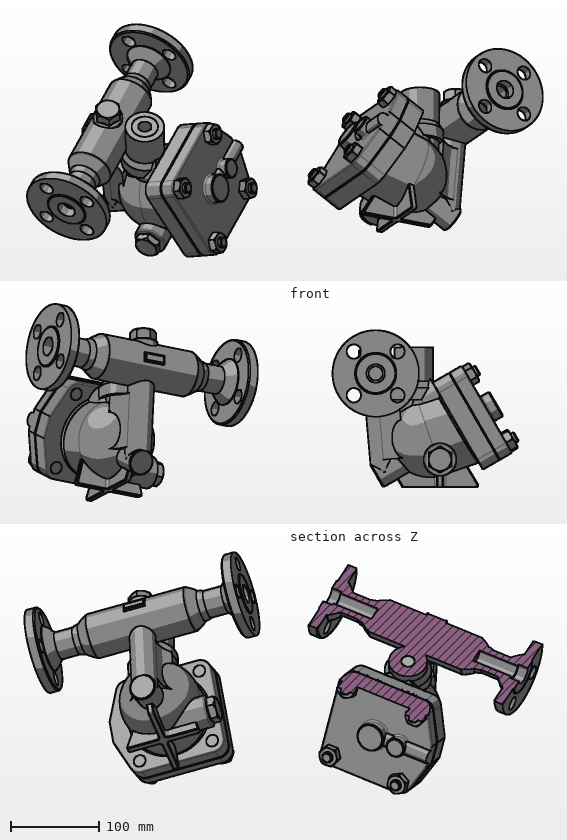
import cadquery as cq
import math

PIPE_HALF_LENGTH = 125.0
FACE_HEIGHT = 1.1
FACE_DIA = 44.0
FACE_BASE_DIA = 47.0
FLANGE_DIA = 98.0
FLANGE_THICKNESS = 11.7
FLANGE_CHAMFER = 1.5
HUB_DIA = 53.0
HUB_STEP = 1.0
HUB_LENGTH = 11.0
HUB_BULGE = 0.5
NECK_DIA = 32.0
NECK_END_Y = 78.7
COLLAR_DIA = 36.0
COLLAR_LENGTH = 7.4
COLLAR_BULGE = 0.4
CHAMBER_HALF_LENGTH = 58.6
CHAMBER_DIA = 52.0
CHAMBER_EDGE_DROP = 0.6
CHAMBER_EDGE_LENGTH = 1.3
CONE_BULGE = 0.6
FLANGE_HOLE_DIA = 16.0
FLANGE_HOLE_PITCH = 49.5
SOCKET_DIA = 21.0
SOCKET_DEPTH = 12.0
BORE_DIA = 16.0
BORE_DEPTH = 60.0

PLATE_LENGTH = 25.5
PLATE_HEIGHT = 10.4
PLATE_RIM = 1.5
PLATE_RECESS = 0.5
PLATE_FACE_X = -29.0
PLATE_CHAMFER = 0.8

PLUG_ACROSS_FLATS = 26.0
PLUG_CHAMFER = 2.3
GASKET_DIA = 24.0
GASKET_THICKNESS = 1.0

TOP_PLUG_X = -2.4
TOP_BOSS_DIA = 33.0
TOP_BOSS_Z = 26.3
TOP_BOSS_FILLET = 1.0
TOP_PLUG_END_Z = 39.4

OUTLET_X = 43.0
OUTLET_DIA = 44.0
OUTLET_TOP_Z = 29.4
OUTLET_BOTTOM_Z = -50.0
OUTLET_SKIRT_DIA = 53.0
OUTLET_SKIRT_BOTTOM_Z = -30.0
OUTLET_SKIRT_TOP_Z = -9.0
OUTLET_SKIRT_SLOPE = 7.0
OUTLET_FACE_DIA = 30.0
OUTLET_FACE_HEIGHT = 0.4
OUTLET_BORE_DIA = 15.0
OUTLET_BORE_DEPTH = 30.0

AXIS_ANGLE = 30.0
AXIS_OFFSET = 98.0
BODY_DIA = 92.0
DOME_RISE = 5.5
BODY_ANGLE = 19.0
DOME_CENTRE_S = 17.0
RIM_WIDTH = 2.5
RIM_LAND = 0.2
BODY_FLANGE_S = 50.5
GASKET_S = 72.5
COVER_FACE_S = 88.8
LUG_RADIUS = 26.5
LUG_RISE = 37.5
LUG_START_S = 30.0

COVER_HALF_WIDTH = 57.0
COVER_CORNER_RADIUS = 13.5
COVER_NOSE_Y = 70.0
COVER_NOSE_HALF_WIDTH = 13.0
COVER_SLANT_START_Y = 52.5
COVER_EDGE_FILLET = 1.5
BACK_EDGE_FILLET = 1.0
JOINT_GROOVE_DEPTH = 0.7
JOINT_GROOVE_WIDTH = 1.2

STUD_DIA = 12.0
STUD_CHAMFER = 1.0
STUD_END_S = 102.05
STUD_RECESS_DIA = 14.0
STUD_RECESS_DEPTH = 0.5
NUT_ACROSS_FLATS = 21.0
NUT_HEIGHT = 9.0
HALF_HEX_TURN = 30
NUT_CHAMFER = 1.4
STUD_PITCH_HALF = COVER_HALF_WIDTH - COVER_CORNER_RADIUS

BOSS_DIA = 32.0
SMALL_BOSS_DIA = 22.0
SMALL_BOSS_Y = 31.9
BOSS_FACE_S = 101.0
BOSS_CHAMFER = 1.2
DUCT_DIA = 16.0
BOSS_FILLET = 2.0

DOWN_PIPE_DIA = 30.0
DOWN_PIPE_TOP_X = 0.0
DOWN_PIPE_ANGLE = 5.0
DOWN_PIPE_LENGTH = 112.0
STRAINER_DIA = 30.0
STRAINER_DROP = 3.0
STRAINER_START_S = -57.2
STRAINER_CHAMFER = 1.2
WEB_RADIUS = 30.0
WEB_SWEEP = 52.0
WEB_START = 35.0
WEB_END = 98.0

DRAIN_X = 72.8
DRAIN_Z = -97.5
DRAIN_DIA = 37.0
DRAIN_END_Y = -55.2
DRAIN_FILLET = 1.5
DRAIN_PLUG_END_Y = -65.8

FOOT_Z = -129.0
FOOT_TOP_Z = -95.0
RIB_THICKNESS = 7.0
RIB_X_FROM = 30.2
RIB_X_TO = 118.0
RIB_Y_HALF = 43.7
RIB_X_SLOPE = 0.6
RIB_Y_SLOPE = 0.25
RIB_CORNER_RADIUS = 2.5
RIB_ROOT_FILLET = 3.0
RIB_EDGE_CHAMFER = 1.0


def body_plane(station, drop=0.0):
    """Plane across the cover axis: local x is +Y, local y points up the cover."""
    angle = math.radians(AXIS_ANGLE)
    distance = AXIS_OFFSET + drop
    x = station * math.cos(angle) + distance * math.sin(angle)
    z = station * math.sin(angle) - distance * math.cos(angle)
    normal = (math.cos(angle), 0, math.sin(angle))
    return cq.Plane(origin=(x, 0, z), xDir=(0, 1, 0), normal=normal)


def near_end(axis):
    """Selector of the first face along a direction."""
    return cq.selectors.DirectionMinMaxSelector(axis, False)


def far_end(axis):
    """Selector of the last face along a direction."""
    return cq.selectors.DirectionMinMaxSelector(axis, True)


def hexagon(plane, across_flats, height, chamfer, turn=0.0):
    """Hexagon prism with its outer corners bevelled; turn rotates it about its axis."""
    across_corners = across_flats / math.cos(math.pi / 6)
    prism = cq.Workplane(plane).transformed(rotate=(0, 0, turn)).polygon(6, across_corners).extrude(height)
    envelope = cq.Workplane(plane).circle(across_corners / 2).extrude(height)
    envelope = envelope.faces(far_end(plane.zDir)).chamfer(chamfer)
    return prism.intersect(envelope)


def bulged_point(start, end, bulge):
    """Point beside the middle of a line, on its left when going from start to end."""
    dx = end[0] - start[0]
    dy = end[1] - start[1]
    length = math.hypot(dx, dy)
    return ((start[0] + end[0]) / 2 - bulge * dy / length, (start[1] + end[1]) / 2 + bulge * dx / length)


def pipe_end():
    """Reducer, collar, neck and flange at the +Y end of the chamber."""
    flange_y = PIPE_HALF_LENGTH - FACE_HEIGHT
    back_y = flange_y - FLANGE_THICKNESS
    hub_y = back_y - HUB_STEP
    cone_start = (CHAMBER_DIA / 2 - CHAMBER_EDGE_DROP, CHAMBER_HALF_LENGTH + CHAMBER_EDGE_LENGTH)
    collar_start = (COLLAR_DIA / 2, NECK_END_Y - COLLAR_LENGTH)
    collar_end = (NECK_DIA / 2, NECK_END_Y)
    hub_start = (NECK_DIA / 2, hub_y - HUB_LENGTH)
    hub_end = (HUB_DIA / 2, hub_y)
    profile = (
        cq.Workplane("XY")
        .moveTo(0, CHAMBER_HALF_LENGTH)
        .lineTo(CHAMBER_DIA / 2, CHAMBER_HALF_LENGTH)
        .lineTo(*cone_start)
        .threePointArc(bulged_point(collar_start, cone_start, CONE_BULGE), collar_start)
        .threePointArc(bulged_point(collar_end, collar_start, COLLAR_BULGE), collar_end)
        .lineTo(*hub_start)
        .threePointArc(bulged_point(hub_end, hub_start, HUB_BULGE), hub_end)
        .lineTo(HUB_DIA / 2, back_y)
        .lineTo(FLANGE_DIA / 2 - FLANGE_CHAMFER, back_y)
        .lineTo(FLANGE_DIA / 2, back_y + FLANGE_CHAMFER)
        .lineTo(FLANGE_DIA / 2, flange_y)
        .lineTo(FACE_BASE_DIA / 2, flange_y)
        .lineTo(FACE_DIA / 2, PIPE_HALF_LENGTH)
        .lineTo(0, PIPE_HALF_LENGTH)
        .close()
    )
    return profile.revolve(360, (0, 0, 0), (0, 1, 0))


def pipe_run():
    chamber = cq.Workplane("XZ", origin=(0, CHAMBER_HALF_LENGTH, 0))
    chamber = chamber.circle(CHAMBER_DIA / 2).extrude(2 * CHAMBER_HALF_LENGTH)
    end = pipe_end()
    return chamber.union(end).union(end.mirror("XZ"))


def pipe_holes():
    end = cq.Workplane("XZ", origin=(0, PIPE_HALF_LENGTH, 0))
    half_holes = (
        end.rect(FLANGE_HOLE_PITCH, FLANGE_HOLE_PITCH, forConstruction=True)
        .vertices()
        .circle(FLANGE_HOLE_DIA / 2)
        .extrude(2 * FLANGE_THICKNESS)
    )
    half_holes = half_holes.union(end.circle(SOCKET_DIA / 2).extrude(SOCKET_DEPTH))
    half_holes = half_holes.union(end.circle(BORE_DIA / 2).extrude(BORE_DEPTH))
    return half_holes.union(half_holes.mirror("XZ"))


def name_plate():
    face = cq.Workplane("YZ", origin=(PLATE_FACE_X, 0, 0))
    plate = face.rect(PLATE_LENGTH, PLATE_HEIGHT).extrude(-PLATE_FACE_X)
    plate = plate.faces("<X").chamfer(PLATE_CHAMFER)
    recess = face.rect(PLATE_LENGTH - 2 * PLATE_RIM, PLATE_HEIGHT - 2 * PLATE_RIM).extrude(PLATE_RECESS)
    return plate.cut(recess)


def top_plug():
    boss = cq.Workplane("XY", origin=(TOP_PLUG_X, 0, 0)).circle(TOP_BOSS_DIA / 2).extrude(TOP_BOSS_Z)
    boss = boss.faces(">Z").edges().fillet(TOP_BOSS_FILLET)
    hex_z = TOP_BOSS_Z + GASKET_THICKNESS
    gasket = cq.Workplane("XY", origin=(TOP_PLUG_X, 0, 0)).circle(GASKET_DIA / 2).extrude(hex_z)
    plane = cq.Plane(origin=(TOP_PLUG_X, 0, hex_z))
    head = hexagon(plane, PLUG_ACROSS_FLATS, TOP_PLUG_END_Z - hex_z, PLUG_CHAMFER)
    return boss.union(gasket).union(head)


def drain_plug():
    boss = cq.Workplane("XZ", origin=(DRAIN_X, 0, DRAIN_Z)).circle(DRAIN_DIA / 2).extrude(-DRAIN_END_Y)
    boss = boss.faces("<Y").edges().fillet(DRAIN_FILLET)
    hex_y = DRAIN_END_Y - GASKET_THICKNESS
    gasket = cq.Workplane("XZ", origin=(DRAIN_X, 0, DRAIN_Z)).circle(GASKET_DIA / 2).extrude(-hex_y)
    plane = cq.Plane(origin=(DRAIN_X, hex_y, DRAIN_Z), xDir=(0, 0, 1), normal=(0, -1, 0))
    head = hexagon(plane, PLUG_ACROSS_FLATS, hex_y - DRAIN_PLUG_END_Y, PLUG_CHAMFER)
    return boss.union(gasket).union(head)


def outlet():
    bottom = cq.Workplane("XY", origin=(OUTLET_X, 0, OUTLET_BOTTOM_Z))
    height = OUTLET_TOP_Z - OUTLET_BOTTOM_Z
    column = bottom.circle(OUTLET_DIA / 2).extrude(height)
    skirt_step = (OUTLET_SKIRT_DIA - OUTLET_DIA) / 2
    skirt = cq.Workplane("XY", origin=(OUTLET_X, 0, OUTLET_SKIRT_BOTTOM_Z)).circle(OUTLET_SKIRT_DIA / 2)
    skirt = skirt.extrude(OUTLET_SKIRT_TOP_Z - OUTLET_SKIRT_BOTTOM_Z)
    skirt = skirt.faces(">Z").chamfer(OUTLET_SKIRT_SLOPE, skirt_step)
    column = column.union(skirt)
    return column.union(bottom.circle(OUTLET_FACE_DIA / 2).extrude(height + OUTLET_FACE_HEIGHT))


def outlet_bore():
    top = cq.Workplane("XY", origin=(OUTLET_X, 0, OUTLET_TOP_Z + OUTLET_FACE_HEIGHT))
    return top.circle(OUTLET_BORE_DIA / 2).extrude(-OUTLET_BORE_DEPTH)


def body_shell():
    """Domed barrel, flared where it meets its flange."""
    axis = body_plane(0).zDir
    dome_plane = body_plane(DOME_CENTRE_S, -DOME_RISE)
    angle = math.radians(BODY_ANGLE)
    barrel_plane = cq.Plane(
        origin=dome_plane.origin,
        xDir=(0, 1, 0),
        normal=(math.cos(angle), 0, math.sin(angle)),
    )
    dome = cq.Workplane(dome_plane).sphere(BODY_DIA / 2)
    barrel = cq.Workplane(barrel_plane).circle(BODY_DIA / 2).extrude(GASKET_S - DOME_CENTRE_S)
    beyond_flange = cq.Workplane(body_plane(GASKET_S - JOINT_GROOVE_WIDTH))
    barrel = barrel.cut(beyond_flange.rect(2 * BODY_DIA, 2 * BODY_DIA).extrude(BODY_DIA))
    rim = cq.Workplane(body_plane(BODY_FLANGE_S - RIM_WIDTH))
    rim = rim.circle(BODY_DIA / 2 + RIM_WIDTH).extrude(RIM_WIDTH)
    rim = rim.faces(near_end(axis)).chamfer(RIM_WIDTH - RIM_LAND)
    return dome.union(barrel).union(rim)


def outlet_lug():
    """Round-ended lug that joins the outlet to the body flange."""
    start = cq.Workplane(body_plane(LUG_START_S, -LUG_RISE))
    return start.sphere(LUG_RADIUS).union(start.circle(LUG_RADIUS).extrude(BODY_FLANGE_S - LUG_START_S))


def cover_block(start, end):
    """Slab with the cover outline between two stations."""
    outline = [
        (-COVER_HALF_WIDTH, -COVER_HALF_WIDTH),
        (COVER_SLANT_START_Y, -COVER_HALF_WIDTH),
        (COVER_NOSE_Y, -COVER_NOSE_HALF_WIDTH),
        (COVER_NOSE_Y, COVER_NOSE_HALF_WIDTH),
        (COVER_SLANT_START_Y, COVER_HALF_WIDTH),
        (-COVER_HALF_WIDTH, COVER_HALF_WIDTH),
    ]
    plane = body_plane(start)
    slab = cq.Workplane(plane).polyline(outline).close().extrude(end - start)
    for x, y in outline:
        if x != COVER_NOSE_Y:
            middle = plane.toWorldCoords((x, y, (end - start) / 2))
            corner = cq.selectors.NearestToPointSelector(middle.toTuple())
            slab = slab.edges(corner).fillet(COVER_CORNER_RADIUS)
    return slab


def joint_gasket(start, end):
    """Gasket with its rim set in from the cover outline."""
    axis = body_plane(0).zDir
    rim = cover_block(start, end).faces(near_end(axis)).wires().val()
    inner = rim.offset2D(-JOINT_GROOVE_DEPTH)[0]
    return cq.Workplane(obj=cq.Solid.extrudeLinear(inner, [], axis * (end - start)))


def stud_recesses():
    back = cq.Workplane(body_plane(BODY_FLANGE_S))
    corners = back.rect(2 * STUD_PITCH_HALF, 2 * STUD_PITCH_HALF, forConstruction=True).vertices()
    return corners.circle(STUD_RECESS_DIA / 2).extrude(STUD_RECESS_DEPTH)


def body_flange_and_cover():
    half_groove = JOINT_GROOVE_WIDTH / 2
    axis = body_plane(0).zDir
    flange = cover_block(BODY_FLANGE_S, GASKET_S - half_groove)
    flange = flange.faces(near_end(axis)).edges().fillet(BACK_EDGE_FILLET)
    flange = flange.cut(stud_recesses())
    gasket = joint_gasket(GASKET_S - half_groove, GASKET_S + half_groove)
    cover = cover_block(GASKET_S + half_groove, COVER_FACE_S)
    cover = cover.faces(far_end(axis)).edges().fillet(COVER_EDGE_FILLET)
    return flange.union(gasket).union(cover)


def cover_fasteners():
    fasteners = cq.Workplane("XY")
    axis = body_plane(0).zDir
    for side in (-1, 1):
        for end in (-1, 1):
            position = (side * STUD_PITCH_HALF, end * STUD_PITCH_HALF, 0)
            plane = body_plane(COVER_FACE_S)
            plane = cq.Plane(origin=plane.toWorldCoords(position), xDir=plane.xDir, normal=axis)
            stud = cq.Workplane(plane).circle(STUD_DIA / 2).extrude(STUD_END_S - COVER_FACE_S)
            stud = stud.faces(far_end(axis)).chamfer(STUD_CHAMFER)
            turn = 0 if side == end else HALF_HEX_TURN
            nut = hexagon(plane, NUT_ACROSS_FLATS, NUT_HEIGHT, NUT_CHAMFER, turn)
            fasteners = fasteners.union(stud).union(nut)
    return fasteners


def cover_boss(dia):
    """Boss standing on z = 0, with a hollow flare at its foot."""
    radius = dia / 2
    height = BOSS_FACE_S - COVER_FACE_S
    diagonal = BOSS_FILLET * (1 - math.sqrt(0.5))
    return (
        cq.Workplane("XZ")
        .moveTo(0, -BOSS_FILLET)
        .lineTo(radius + BOSS_FILLET, -BOSS_FILLET)
        .lineTo(radius + BOSS_FILLET, 0)
        .threePointArc((radius + diagonal, diagonal), (radius, BOSS_FILLET))
        .lineTo(radius, height - BOSS_CHAMFER)
        .lineTo(radius - BOSS_CHAMFER, height)
        .lineTo(0, height)
        .close()
        .revolve(360, (0, 0, 0), (0, 1, 0))
    )


def cover_bosses():
    """Large and small boss, joined by a half-round duct that runs on to the nose of the cover."""
    face = body_plane(COVER_FACE_S)
    boss = cover_boss(BOSS_DIA).union(cover_boss(SMALL_BOSS_DIA).translate((SMALL_BOSS_Y, 0, 0)))
    boss = boss.newObject([boss.val().moved(face.location)])
    duct = cq.Workplane("XZ", origin=face.origin.toTuple()).circle(DUCT_DIA / 2).extrude(-COVER_NOSE_Y)
    return boss.union(duct)


def down_pipe():
    """Pipe down to the strainer, with a hollow-sided web on its +X side that joins it to the body."""
    tilt = math.radians(DOWN_PIPE_ANGLE)
    direction = (math.sin(tilt), 0, -math.cos(tilt))
    across = (math.cos(tilt), 0, math.sin(tilt))
    plane = cq.Plane(origin=(DOWN_PIPE_TOP_X, 0, 0), xDir=across, normal=direction)
    pipe = cq.Workplane(plane).circle(DOWN_PIPE_DIA / 2).extrude(DOWN_PIPE_LENGTH)

    def side_point(angle, side):
        x = WEB_RADIUS * math.sin(math.radians(angle))
        y = DOWN_PIPE_DIA / 2 + WEB_RADIUS * (1 - math.cos(math.radians(angle)))
        return (x, side * y)

    web = (
        cq.Workplane(plane)
        .workplane(offset=WEB_START)
        .moveTo(*side_point(0, -1))
        .threePointArc(side_point(WEB_SWEEP / 2, -1), side_point(WEB_SWEEP, -1))
        .lineTo(*side_point(WEB_SWEEP, 1))
        .threePointArc(side_point(WEB_SWEEP / 2, 1), side_point(0, 1))
        .close()
        .extrude(WEB_END - WEB_START)
    )
    beyond_strainer = cq.Workplane(body_plane(STRAINER_START_S, STRAINER_DROP))
    beyond_strainer = beyond_strainer.rect(2 * STRAINER_DIA, 2 * STRAINER_DIA).extrude(-STRAINER_DIA)
    return pipe.union(web).cut(beyond_strainer)


def strainer():
    axis = body_plane(0).zDir
    length = DOME_CENTRE_S - STRAINER_START_S
    tube = cq.Workplane(body_plane(STRAINER_START_S, STRAINER_DROP)).circle(STRAINER_DIA / 2).extrude(length)
    return tube.faces(near_end(axis)).chamfer(STRAINER_CHAMFER)


def foot():
    height = FOOT_TOP_Z - FOOT_Z
    run_x = RIB_X_SLOPE * height
    run_y = RIB_Y_SLOPE * height
    long_rib = (
        cq.Workplane("XZ")
        .polyline([
            (RIB_X_FROM, FOOT_Z),
            (RIB_X_TO, FOOT_Z),
            (RIB_X_TO - run_x, FOOT_TOP_Z),
            (RIB_X_FROM - run_x, FOOT_TOP_Z),
        ])
        .close()
        .extrude(RIB_THICKNESS / 2, both=True)
    )
    cross_rib = (
        cq.Workplane("YZ", origin=(DRAIN_X, 0, 0))
        .polyline([
            (-RIB_Y_HALF, FOOT_Z),
            (RIB_Y_HALF, FOOT_Z),
            (RIB_Y_HALF - run_y, FOOT_TOP_Z),
            (run_y - RIB_Y_HALF, FOOT_TOP_Z),
        ])
        .close()
        .extrude(RIB_THICKNESS / 2, both=True)
    )
    long_rib = long_rib.edges("|Y and <Z").fillet(RIB_CORNER_RADIUS)
    cross_rib = cross_rib.edges("|X and <Z").fillet(RIB_CORNER_RADIUS)
    ribs = long_rib.union(cross_rib)
    middle = cq.selectors.BoxSelector(
        (DRAIN_X - RIB_THICKNESS, -RIB_THICKNESS, FOOT_Z),
        (DRAIN_X + RIB_THICKNESS, RIB_THICKNESS, FOOT_TOP_Z),
    )
    ribs = ribs.edges("|Z").edges(middle).fillet(RIB_ROOT_FILLET)
    return ribs.faces("<Z").edges().chamfer(RIB_EDGE_CHAMFER)


result = (
    body_shell()
    .union(down_pipe())
    .union(strainer())
    .union(foot())
    .union(outlet_lug())
    .union(body_flange_and_cover())
    .union(cover_bosses())
    .union(cover_fasteners())
    .union(outlet())
    .union(drain_plug())
    .union(pipe_run())
    .union(name_plate())
    .union(top_plug())
    .cut(pipe_holes())
    .cut(outlet_bore())
)